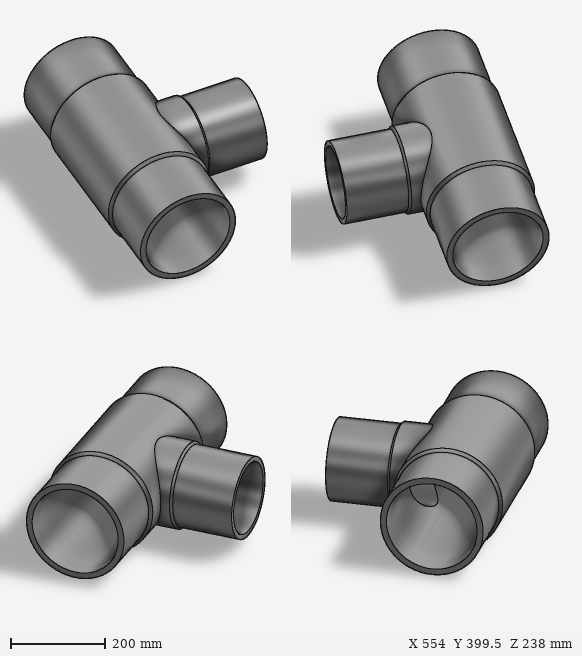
import cadquery as cq

run_length = 554.0
run_diameter = 225.0
run_bore = 198.5

sleeve_length = 288.0
sleeve_diameter = 238.0
sleeve_chamfer = (sleeve_diameter - run_diameter) / 2

branch_reach = 280.5
branch_diameter = 180.0
branch_bore = 158.5

collar_reach = 144.5
collar_diameter = 190.5
collar_chamfer = (collar_diameter - branch_diameter) / 2


def run_cylinder(diameter, length):
    """Cylinder along X, centred on the origin."""
    return cq.Workplane("YZ").circle(diameter / 2).extrude(length / 2, both=True)


def branch_cylinder(diameter, reach):
    """Cylinder from the main axis out to +Y."""
    return cq.Workplane("XZ").circle(diameter / 2).extrude(-reach)


sleeve = run_cylinder(sleeve_diameter, sleeve_length).edges("%CIRCLE").chamfer(sleeve_chamfer)
collar = branch_cylinder(collar_diameter, collar_reach).faces(">Y").edges().chamfer(collar_chamfer)
body = (
    run_cylinder(run_diameter, run_length)
    .union(sleeve)
    .union(branch_cylinder(branch_diameter, branch_reach))
    .union(collar)
)

result = body.cut(run_cylinder(run_bore, run_length)).cut(branch_cylinder(branch_bore, branch_reach))